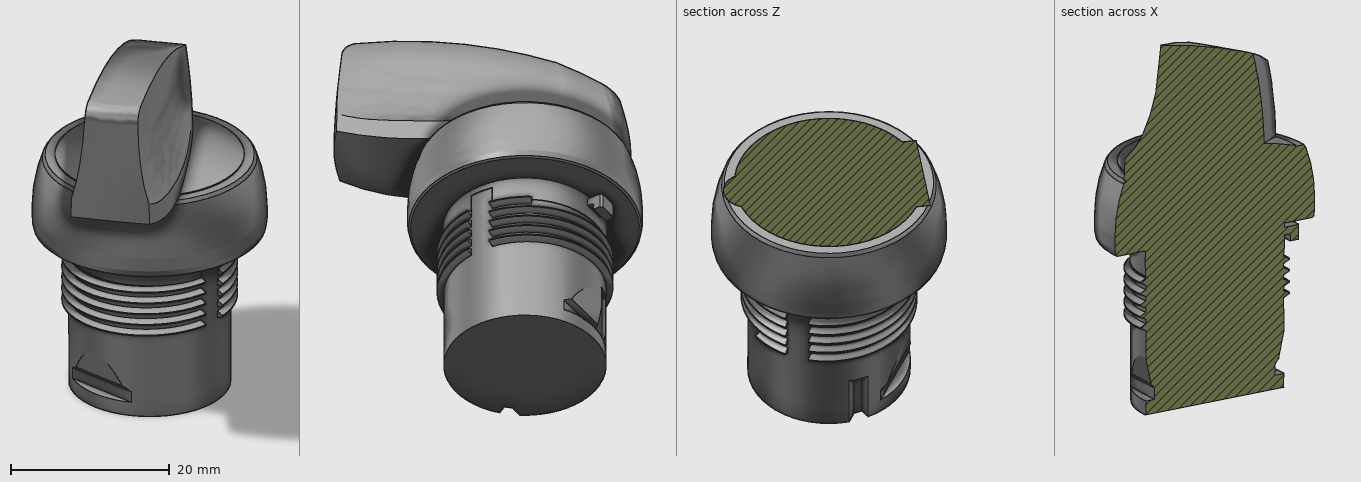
import cadquery as cq
import math


margin = 0.5

body_radius = 10.25
neck_radius = 10.35
neck_bottom = 18.45
keyway_width = 3.15
keyway_top = 21.0

thread_radius = 11.05
thread_first_crest = 12.05
thread_pitch = 6.05 / 4
thread_turns = 4.7
thread_start_angle = -215.0
thread_root_half_width = 0.47
thread_crest_half_width = 0.075
thread_sink = 0.2

notch_bottom = 1.9
notch_shoulder = 3.4
notch_ramp_start = 4.0
notch_top = 7.55
notch_depth_y = 8.95
notch_ramp_y = 9.45

key_slot_height = 6.95
key_slot_outline = [(-8.95, -6.0), (-6.55, -6.0), (-5.8, -6.75), (-7.3, -9.15), (-8.95, -9.15)]
back_slot_left = -4.4
back_slot_right = -2.25
back_slot_floor = 8.7
back_slot_top = 9.8

hook_width = 2.9
hook_root = 9.2
hook_reach = 12.35
hook_inner = 11.1
hook_top = 21.35
hook_arm_bottom = 20.25
hook_tip_bottom = 19.3
hook_chamfer = 0.3
hook_inner_fillet = 0.35

collar_radius = 14.8
collar_bottom = 21.85
collar_bottom_radius = 14.4
collar_lip_radius = 14.65
collar_lip_top = 22.05
collar_band_bottom = 22.8
collar_band_top = 24.6
collar_mid_radius = 14.45
collar_mid_height = 28.1
collar_shoulder_radius = 13.5
collar_shoulder = 31.4
collar_top_radius = 13.15
collar_top = 31.85

dome_radius = 11.9
dome_edge = 31.95
dome_peak = 33.7

handle_angle = -60.0
handle_bottom = collar_top
handle_top = 49.65
loft_steps = 2
loft_height = 18.35
back_reach = 13.4
back_corner_u = -11.5
back_half_width = 2.9
belly_u = 10.45
belly_half_width = 6.1
tip_half_width = 5.1
tip_radius = 24.1
flank_lean = 1.9
back_lean = 4.95
tip_lean = 1.2
top_arc_radius = 52.65
top_peak_u = 16.4
tip_top_fillet = 2.0
underside_arc_radius = 29.8
underside_start_u = 11.9
grip_wall_half_width = 3.4
grip_hollow_depth = 3.5
grip_hollow_height = 15.7
grip_tilt = 1.5


def make_thread():
    """Right-handed ridge wound around the body."""
    start_height = thread_first_crest + thread_pitch * thread_start_angle / 360
    root_radius = body_radius - thread_sink
    flank_slope = (thread_root_half_width - thread_crest_half_width) / (thread_radius - body_radius)
    sunk_half_width = thread_root_half_width + thread_sink * flank_slope
    helix = cq.Wire.makeHelix(thread_pitch, thread_pitch * thread_turns, root_radius)
    ridge = (
        cq.Workplane("XZ")
        .moveTo(root_radius, -sunk_half_width)
        .lineTo(thread_radius, -thread_crest_half_width)
        .lineTo(thread_radius, thread_crest_half_width)
        .lineTo(root_radius, sunk_half_width)
        .close()
        .sweep(cq.Workplane(helix), isFrenet=True)
    )
    ridge = ridge.rotate((0, 0, 0), (0, 0, 1), thread_start_angle)
    return ridge.translate((0, 0, start_height))


def make_latch_notch():
    """Cutter for the front notch: a long ramp, a short ramp and a flat above a square shelf."""
    return (
        cq.Workplane("YZ")
        .moveTo(-body_radius, notch_top)
        .lineTo(-notch_ramp_y, notch_ramp_start)
        .lineTo(-notch_depth_y, notch_shoulder)
        .lineTo(-notch_depth_y, notch_bottom)
        .lineTo(-thread_radius, notch_bottom)
        .lineTo(-thread_radius, notch_top)
        .close()
        .extrude(body_radius, both=True)
    )


def make_key_slot():
    """Cutter for the angled slot at the front left, open at the underside."""
    return (
        cq.Workplane("XY")
        .polyline(key_slot_outline)
        .close()
        .extrude(key_slot_height)
    )


def make_hook():
    """Downturned locking hook at the back of the body."""
    hook = (
        cq.Workplane("YZ")
        .moveTo(hook_root, hook_top)
        .lineTo(hook_reach, hook_top)
        .lineTo(hook_reach, hook_tip_bottom)
        .lineTo(hook_inner, hook_tip_bottom)
        .lineTo(hook_inner, hook_arm_bottom - hook_inner_fillet)
        .radiusArc((hook_inner - hook_inner_fillet, hook_arm_bottom), -hook_inner_fillet)
        .lineTo(hook_root, hook_arm_bottom)
        .close()
        .extrude(hook_width / 2, both=True)
    )
    return hook.faces(">Y").edges("|Z").chamfer(hook_chamfer)


def make_threaded_core():
    """Plain core carrying the thread and the neck, which a keyway on each side clears down to the core."""
    core = cq.Workplane("XY").circle(body_radius).extrude(collar_bottom)
    neck = cq.Workplane("XY", origin=(0, 0, neck_bottom)).circle(neck_radius)
    neck = neck.extrude(collar_bottom - neck_bottom)
    keyways = cq.Workplane("XY").rect(2 * collar_radius, keyway_width).extrude(keyway_top)
    return core.union(make_thread().cut(keyways)).union(neck.cut(keyways))


def make_back_slot():
    """Cutter for the square pocket beside the back notch, open outwards."""
    return (
        cq.Workplane("XZ", origin=(0, back_slot_floor, 0))
        .moveTo(back_slot_left, notch_bottom)
        .lineTo(back_slot_right, notch_bottom)
        .lineTo(back_slot_right, back_slot_top)
        .lineTo(back_slot_left, back_slot_top)
        .close()
        .extrude(back_slot_floor - body_radius - margin)
    )


def make_body():
    notch = make_latch_notch()
    body = make_threaded_core().cut(notch).cut(notch.mirror("XZ"))
    return body.cut(make_key_slot()).cut(make_back_slot()).union(make_hook())


def dome_sphere_radius():
    rise = dome_peak - dome_edge
    return (dome_radius**2 + rise**2) / (2 * rise)


def make_collar():
    return (
        cq.Workplane("XZ")
        .moveTo(0, collar_bottom)
        .lineTo(collar_bottom_radius, collar_bottom)
        .lineTo(collar_lip_radius, collar_lip_top)
        .lineTo(collar_radius, collar_band_bottom)
        .lineTo(collar_radius, collar_band_top)
        .threePointArc((collar_mid_radius, collar_mid_height), (collar_shoulder_radius, collar_shoulder))
        .lineTo(collar_top_radius, collar_top)
        .lineTo(dome_radius, collar_top)
        .lineTo(dome_radius, dome_edge)
        .radiusArc((0, dome_peak), -dome_sphere_radius())
        .close()
        .revolve(360, (0, 0, 0), (0, 1, 0))
    )


def handle_outline(plane, lean):
    """Plan outline of the handle; lean is the share of the full inward lean."""
    flank_in = flank_lean * lean
    back_in = back_lean * lean
    tip_r = tip_radius - tip_lean * lean
    tip_v = tip_half_width - flank_in
    tip_u = math.sqrt(tip_r**2 - tip_v**2)
    belly_v = belly_half_width - flank_in
    back_v = back_half_width - flank_in / 2
    back_u = back_corner_u + back_in
    return (
        plane.moveTo(back_u, -back_v)
        .threePointArc((belly_u, -belly_v), (tip_u, -tip_v))
        .threePointArc((tip_r, 0), (tip_u, tip_v))
        .threePointArc((belly_u, belly_v), (back_u, back_v))
        .threePointArc((back_in - back_reach, 0), (back_u, -back_v))
        .close()
    )


def make_handle_blank():
    """Handle walls, upright at the bottom and leaning inwards more and more towards the top."""
    blank = handle_outline(cq.Workplane("XY"), 0)
    step = loft_height / loft_steps
    for level in range(1, loft_steps + 1):
        blank = handle_outline(blank.workplane(offset=step), (level / loft_steps) ** 2)
    return blank.loft(combine=True).translate((0, 0, handle_bottom))


def make_handle_side_profile():
    """Side silhouette of the handle: arched top and upswept underside."""
    top_center = handle_top - top_arc_radius
    underside_center = handle_bottom + underside_arc_radius

    def top_at(u):
        return top_center + math.sqrt(top_arc_radius**2 - (u - top_peak_u) ** 2)

    def underside_at(u):
        return underside_center - math.sqrt(underside_arc_radius**2 - (u - underside_start_u) ** 2)

    back_u = -back_reach - margin
    front_u = tip_radius + margin
    return (
        cq.Workplane("XZ")
        .moveTo(back_u, handle_bottom)
        .lineTo(underside_start_u, handle_bottom)
        .radiusArc((front_u, underside_at(front_u)), -underside_arc_radius)
        .lineTo(front_u, top_at(front_u))
        .radiusArc((back_u, top_at(back_u)), -top_arc_radius)
        .close()
        .extrude(2 * belly_half_width, both=True)
    )


def make_grip_hollow():
    """Cutter for the concave finger grip on the +v side: a bar with an upright elliptical section."""
    bar = (
        cq.Workplane("YZ", origin=(-tip_radius, 0, 0))
        .center(grip_wall_half_width + grip_hollow_depth, handle_top)
        .ellipse(grip_hollow_depth, grip_hollow_height)
        .extrude(3 * tip_radius)
    )
    return bar.rotate((0, 0, handle_top), (0, 1, handle_top), -grip_tilt)


def make_handle():
    handle = make_handle_blank().intersect(make_handle_side_profile())
    hollow = make_grip_hollow()
    handle = handle.cut(hollow).cut(hollow.mirror("XZ"))
    tip_edge = handle.edges(cq.selectors.NearestToPointSelector((tip_radius, 0, handle_top)))
    handle = tip_edge.fillet(tip_top_fillet)
    return handle.rotate((0, 0, 0), (0, 0, 1), handle_angle)


result = make_body().union(make_collar()).union(make_handle())